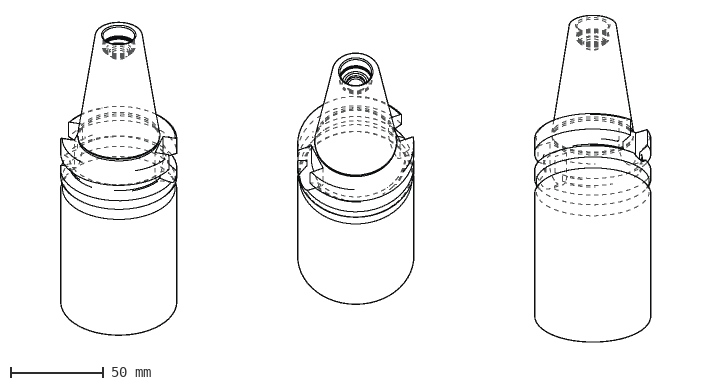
import cadquery as cq
import math

body_diameter = 63.0
body_radius = body_diameter / 2
total_length = 175.4
body_bottom_fillet = 2.0

taper_ratio = 7 / 24
taper_length = 65.5
gauge_z = total_length - taper_length
gauge_radius = 22.3
tip_radius = gauge_radius - taper_length * taper_ratio / 2
tip_fillet = 0.9

relief_length = 2.0
relief_radius = 22.0
relief_cone_height = 0.9

flange_top_z = gauge_z - relief_length
flange_height = 25.8
flange_bottom_z = flange_top_z - flange_height
flange_edge_fillet = 0.9
v_groove_radius = 26.5
v_groove_center_z = gauge_z - 16.5
v_groove_floor_width = 4.2
v_groove_floor_fillet = 0.7
v_groove_side_angle = math.radians(30)
v_groove_side_height = (body_radius - v_groove_radius) * math.tan(v_groove_side_angle)
v_floor_top_z = v_groove_center_z + v_groove_floor_width / 2
v_floor_bottom_z = v_groove_center_z - v_groove_floor_width / 2

neck_radius = 30.5
neck_chamfer = body_radius - neck_radius
neck_height = 7.5
neck_edge_fillet = 0.7
body_top_z = flange_bottom_z - neck_height

slot_width = 16.1
slot_floor_x = 22.6
slot_depth_below_flange_top = 21.7
slot_end_z = flange_top_z - slot_depth_below_flange_top

bore_radius = 8.6
bore_mouth_fillet = 0.7
ring_groove_count = 2
ring_groove_depth = 0.2
ring_groove_width = 0.7
ring_groove_pitch = 0.9
first_ring_depth = 6.5
bore_depth = 8.6
seat_radius = 7.2
ledge_inner_radius = 6.0
pilot_radius = 5.0
pilot_depth = 12.3
pilot_floor_radius = 4.4


def rounded_profile(corners):
    """Closed XZ outline through (x, z, radius) corners; each radius rounds its corner."""
    profile = None
    for index, (x, z, radius) in enumerate(corners):
        corner = cq.Vector(x, z)
        before = cq.Vector(*corners[index - 1][:2])
        after = cq.Vector(*corners[(index + 1) % len(corners)][:2])
        to_before = (before - corner).normalized()
        to_after = (after - corner).normalized()
        half_angle = to_before.getAngle(to_after) / 2
        tangent_length = radius / math.tan(half_angle)
        apex_distance = radius / math.sin(half_angle) - radius
        arc_start = corner + to_before * tangent_length
        arc_middle = corner + (to_before + to_after).normalized() * apex_distance
        arc_end = corner + to_after * tangent_length

        if profile is None:
            profile = cq.Workplane("XZ").moveTo(arc_start.x, arc_start.y)
        else:
            profile = profile.lineTo(arc_start.x, arc_start.y)
        if radius > 0:
            profile = profile.threePointArc((arc_middle.x, arc_middle.y), (arc_end.x, arc_end.y))
    return profile.close()


def make_turned_body():
    """Revolve the outer profile of the holder about the Z axis."""
    corners = [
        (0, 0, 0),
        (body_radius, 0, body_bottom_fillet),
        (body_radius, body_top_z, neck_edge_fillet),
        (neck_radius, body_top_z + neck_chamfer, 0),
        (neck_radius, flange_bottom_z, 0),
        (body_radius, flange_bottom_z + neck_chamfer, neck_edge_fillet),
        (body_radius, v_floor_bottom_z - v_groove_side_height, 0),
        (v_groove_radius, v_floor_bottom_z, v_groove_floor_fillet),
        (v_groove_radius, v_floor_top_z, v_groove_floor_fillet),
        (body_radius, v_floor_top_z + v_groove_side_height, 0),
        (body_radius, flange_top_z, flange_edge_fillet),
        (relief_radius, flange_top_z, 0),
        (relief_radius, gauge_z - relief_cone_height, 0),
        (gauge_radius, gauge_z, 0),
        (tip_radius, total_length, tip_fillet),
        (0, total_length, 0),
    ]
    return rounded_profile(corners).revolve(360, (0, 0, 0), (0, 1, 0))


def make_bore():
    """Stepped blind bore with ring grooves and 45-degree cones between its steps."""
    ledge_depth = bore_depth + bore_radius - seat_radius
    pilot_top_depth = ledge_depth + ledge_inner_radius - pilot_radius
    floor_depth = pilot_depth + pilot_radius - pilot_floor_radius

    profile = (
        cq.Workplane("XZ", origin=(0, 0, total_length))
        .moveTo(0, 0)
        .lineTo(bore_radius + bore_mouth_fillet, 0)
        .radiusArc((bore_radius, -bore_mouth_fillet), bore_mouth_fillet)
    )
    for ring in range(ring_groove_count):
        groove_top = first_ring_depth + ring * ring_groove_pitch
        groove_bottom = groove_top + ring_groove_width
        groove_radius = bore_radius + ring_groove_depth
        profile = (
            profile.lineTo(bore_radius, -groove_top)
            .lineTo(groove_radius, -(groove_top + ring_groove_depth))
            .lineTo(groove_radius, -(groove_bottom - ring_groove_depth))
            .lineTo(bore_radius, -groove_bottom)
        )
    profile = (
        profile.lineTo(bore_radius, -bore_depth)
        .lineTo(seat_radius, -ledge_depth)
        .lineTo(ledge_inner_radius, -ledge_depth)
        .lineTo(pilot_radius, -pilot_top_depth)
        .lineTo(pilot_radius, -pilot_depth)
        .lineTo(pilot_floor_radius, -floor_depth)
        .lineTo(0, -floor_depth)
        .close()
    )
    return profile.revolve(360, (0, 0, 0), (0, 1, 0))


def make_slot(side):
    """Round-ended slot, open at the flange top, on the +X (1) or -X (-1) side."""
    end_radius = slot_width / 2
    arc_center_z = slot_end_z + end_radius
    return (
        cq.Workplane("YZ", origin=(side * slot_floor_x, 0, 0))
        .moveTo(-end_radius, flange_top_z)
        .lineTo(-end_radius, arc_center_z)
        .threePointArc((0, slot_end_z), (end_radius, arc_center_z))
        .lineTo(end_radius, flange_top_z)
        .close()
        .extrude(side * body_radius)
    )


result = make_turned_body().cut(make_bore())
for side in (-1, 1):
    result = result.cut(make_slot(side))